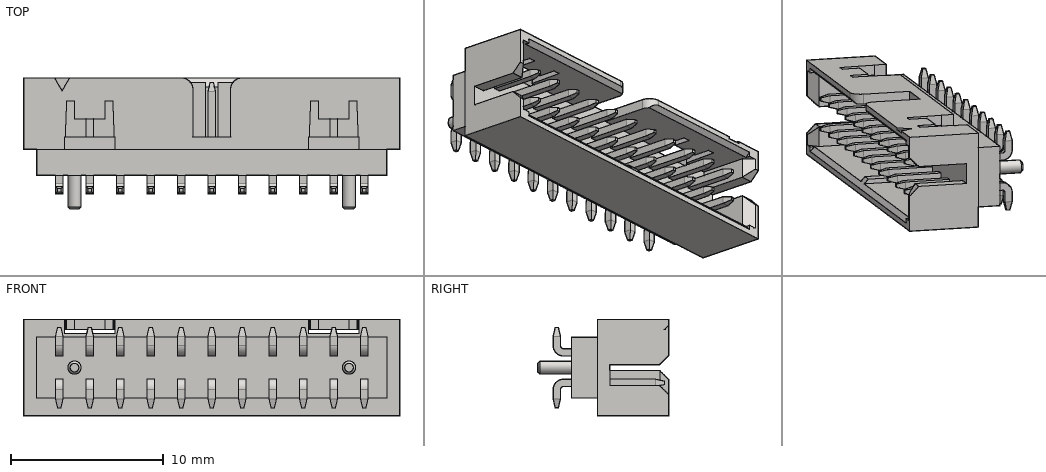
import cadquery as cq


ROW_LENGTH = 20.0
PINS_PER_ROW = 11
PITCH = ROW_LENGTH / (PINS_PER_ROW - 1)
PIN_SIZE = 0.5
ROW_Z = PITCH / 2
TIP_SIZE = 0.22
TIP_LENGTH = 0.6
BEND_INNER_RADIUS = 0.2
BEND_OUTER_RADIUS = BEND_INNER_RADIUS + PIN_SIZE
LEG_STANDOFF = 1.2
LEG_REACH = 2.64
PIN_RECESS = 0.3

SHROUD_LENGTH = 24.65
SHROUD_DEPTH = 4.68
SHROUD_HEIGHT = 6.3
TOP_Z = SHROUD_HEIGHT / 2
CAVITY_DEPTH = 3.87
SIDE_WALL = 0.67
END_WALL = 0.9
CAVITY_LENGTH = SHROUD_LENGTH - 2 * END_WALL
CAVITY_HEIGHT = SHROUD_HEIGHT - 2 * SIDE_WALL
FLOOR_Y = SHROUD_DEPTH - CAVITY_DEPTH
LEAD_IN_SIDE = 0.3
LEAD_IN_END = 0.6

BASE_LENGTH = 22.97
BASE_DEPTH = 1.7
BASE_HEIGHT = 4.0
PEG_X = 9.0
PEG_DIAMETER = 0.86
PEG_LENGTH = 2.22
PEG_CHAMFER = 0.15

KEY_WIDTH = 2.46
KEY_CORNER_RADIUS = 0.75
RIB_WIDTH = 0.81
RIB_HEIGHT = 0.3

SLOT_LOW_Z = -0.17
SLOT_HIGH_Z = 1.15
SLOT_CHAMFER = 0.62

WINDOW_X = 4 * PITCH
WINDOW_FRONT_WIDTH = 3.03
WINDOW_REAR_WIDTH = 3.2
WINDOW_FRONT_Y = 3.18
TONGUE_WIDTH = 2.0
TONGUE_FRONT_Y = 2.0
REAR_NOTCH_WIDTH = 3.28
REAR_NOTCH_DEPTH = 0.9

MARK_X = -9.8
MARK_WIDTH = 0.99
MARK_LENGTH = 0.85
MARK_DEPTH = 0.12


def box(x_range, y_range, z_range):
    """Axis-aligned block between the given limits."""
    size = [high - low for low, high in (x_range, y_range, z_range)]
    corner = (x_range[0], y_range[0], z_range[0])
    return cq.Workplane("XY").box(*size, centered=False).translate(corner)


def taper(plane, big, small, length):
    """Square-section taper standing on a plane."""
    return cq.Workplane(plane).rect(big, big).workplane(offset=length).rect(small, small).loft()


def cavity():
    """Pin cavity with a lead-in at its mouth and the bottom rib left standing."""
    half_length = CAVITY_LENGTH / 2
    half_height = CAVITY_HEIGHT / 2
    bore = box(
        (-half_length, half_length),
        (FLOOR_Y, SHROUD_DEPTH),
        (-half_height, half_height),
    )
    rib = box(
        (-RIB_WIDTH / 2, RIB_WIDTH / 2),
        (FLOOR_Y, SHROUD_DEPTH),
        (-half_height, RIB_HEIGHT - half_height),
    )
    mouth_z = half_height + LEAD_IN_SIDE
    inner_z = mouth_z - LEAD_IN_END
    side_lead_in = (
        cq.Workplane("YZ")
        .polyline([
            (SHROUD_DEPTH, -mouth_z),
            (SHROUD_DEPTH, mouth_z),
            (SHROUD_DEPTH - LEAD_IN_END, inner_z),
            (SHROUD_DEPTH - LEAD_IN_END, -inner_z),
        ])
        .close()
        .extrude(half_length, both=True)
    )
    end_lead_in = (
        cq.Workplane("XY")
        .polyline([
            (half_length, SHROUD_DEPTH),
            (half_length + LEAD_IN_END, SHROUD_DEPTH),
            (half_length, SHROUD_DEPTH - LEAD_IN_END),
        ])
        .close()
        .extrude(half_height, both=True)
    )
    opening = bore.cut(rib).union(side_lead_in)
    return opening.union(end_lead_in).union(end_lead_in.mirror("YZ"))


def keyway():
    """Notch in the top wall, rounded where it meets the mating face."""
    half = KEY_WIDTH / 2
    radius = KEY_CORNER_RADIUS
    return (
        cq.Workplane("XY")
        .moveTo(-half, FLOOR_Y)
        .lineTo(half, FLOOR_Y)
        .lineTo(half, SHROUD_DEPTH - radius)
        .radiusArc((half + radius, SHROUD_DEPTH), radius)
        .lineTo(-half - radius, SHROUD_DEPTH)
        .radiusArc((-half, SHROUD_DEPTH - radius), radius)
        .close()
        .extrude(TOP_Z)
    )


def end_slot():
    """Slot through the -X end wall, flared at the mating face."""
    flare_y = SHROUD_DEPTH - SLOT_CHAMFER
    return (
        cq.Workplane("YZ")
        .polyline([
            (FLOOR_Y, SLOT_LOW_Z),
            (flare_y, SLOT_LOW_Z),
            (SHROUD_DEPTH, SLOT_LOW_Z - SLOT_CHAMFER),
            (SHROUD_DEPTH, SLOT_HIGH_Z + SLOT_CHAMFER),
            (flare_y, SLOT_HIGH_Z),
            (FLOOR_Y, SLOT_HIGH_Z),
        ])
        .close()
        .extrude(-SHROUD_LENGTH / 2)
    )


def latch_window():
    """U-shaped window around a tongue, with a shallow notch through the rear edge."""
    window = (
        cq.Workplane("XY")
        .polyline([
            (-WINDOW_REAR_WIDTH / 2, FLOOR_Y),
            (WINDOW_REAR_WIDTH / 2, FLOOR_Y),
            (WINDOW_FRONT_WIDTH / 2, WINDOW_FRONT_Y),
            (TONGUE_WIDTH / 2, WINDOW_FRONT_Y),
            (TONGUE_WIDTH / 2, TONGUE_FRONT_Y),
            (-TONGUE_WIDTH / 2, TONGUE_FRONT_Y),
            (-TONGUE_WIDTH / 2, WINDOW_FRONT_Y),
            (-WINDOW_FRONT_WIDTH / 2, WINDOW_FRONT_Y),
        ])
        .close()
        .extrude(TOP_Z)
    )
    notch = box(
        (-REAR_NOTCH_WIDTH / 2, REAR_NOTCH_WIDTH / 2),
        (0, FLOOR_Y),
        (TOP_Z - REAR_NOTCH_DEPTH, TOP_Z),
    )
    return window.union(notch)


def pin_one_mark():
    """Shallow triangle pointing away from the mating edge."""
    return (
        cq.Workplane("XY", origin=(MARK_X, SHROUD_DEPTH, TOP_Z))
        .polyline([(-MARK_WIDTH / 2, 0), (MARK_WIDTH / 2, 0), (0, -MARK_LENGTH)])
        .close()
        .extrude(-MARK_DEPTH)
    )


def shroud():
    half_length = SHROUD_LENGTH / 2
    body = box(
        (-half_length, half_length),
        (0, SHROUD_DEPTH),
        (-TOP_Z, TOP_Z),
    )
    slot = end_slot()
    body = body.cut(cavity()).cut(keyway()).cut(slot).cut(pin_one_mark())
    body = body.cut(slot.rotate((0, 0, 0), (0, 1, 0), 180))
    for side in (-1, 1):
        body = body.cut(latch_window().translate((side * WINDOW_X, 0, 0)))
    return body


def peg():
    """Locating peg with a chamfered free end."""
    return (
        cq.Workplane("XZ", origin=(0, -BASE_DEPTH, 0))
        .circle(PEG_DIAMETER / 2)
        .extrude(PEG_LENGTH)
        .faces("<Y")
        .chamfer(PEG_CHAMFER)
    )


def pin():
    """Upper-row pin: straight contact, right-angle bend and a leg turned up along +Z."""
    low_z = ROW_Z - PIN_SIZE / 2
    high_z = ROW_Z + PIN_SIZE / 2
    rear_y = -BASE_DEPTH - LEG_STANDOFF
    contact_end_y = SHROUD_DEPTH - PIN_RECESS - TIP_LENGTH
    leg_end_z = LEG_REACH - TIP_LENGTH
    bend_y = rear_y + BEND_OUTER_RADIUS
    bend_z = low_z + BEND_OUTER_RADIUS
    bar = (
        cq.Workplane("YZ")
        .moveTo(contact_end_y, low_z)
        .lineTo(bend_y, low_z)
        .radiusArc((rear_y, bend_z), BEND_OUTER_RADIUS)
        .lineTo(rear_y, leg_end_z)
        .lineTo(rear_y + PIN_SIZE, leg_end_z)
        .lineTo(rear_y + PIN_SIZE, bend_z)
        .radiusArc((bend_y, high_z), -BEND_INNER_RADIUS)
        .lineTo(contact_end_y, high_z)
        .close()
        .extrude(PIN_SIZE / 2, both=True)
    )
    leg_tip = taper("XY", PIN_SIZE, TIP_SIZE, TIP_LENGTH)
    contact_tip = taper("XZ", PIN_SIZE, TIP_SIZE, -TIP_LENGTH)
    bar = bar.union(leg_tip.translate((0, rear_y + PIN_SIZE / 2, leg_end_z)))
    return bar.union(contact_tip.translate((0, contact_end_y, ROW_Z)))


base = box(
    (-BASE_LENGTH / 2, BASE_LENGTH / 2),
    (-BASE_DEPTH, 0),
    (-BASE_HEIGHT / 2, BASE_HEIGHT / 2),
)
result = shroud().union(base)

for side in (-1, 1):
    result = result.union(peg().translate((side * PEG_X, 0, 0)))

upper_pin = pin()
lower_pin = upper_pin.mirror("XY")
for index in range(PINS_PER_ROW):
    x = (index - (PINS_PER_ROW - 1) / 2) * PITCH
    result = result.union(upper_pin.translate((x, 0, 0))).union(lower_pin.translate((x, 0, 0)))